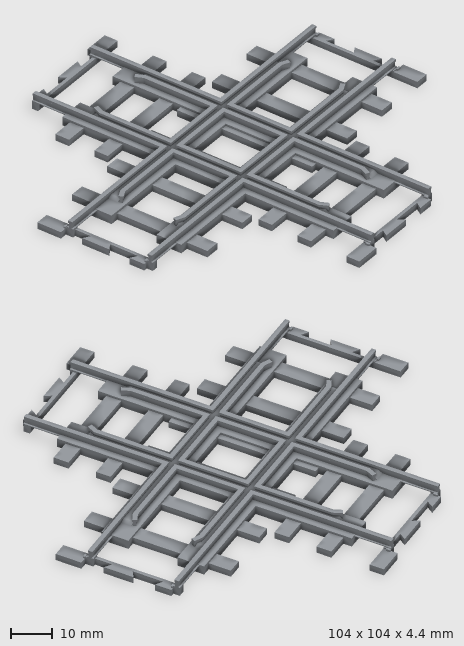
import cadquery as cq
import math

OVERALL = 104.0
QUARTER_TURNS = (0, 90, 180, 270)

SLEEPER_TOP = 1.9
FOOT_BOTTOM = 2.2
FOOT_TOP = 2.4
PLATE_TOP = 2.5
GROOVE_FLOOR = 3.1
HEAD_BOTTOM = 3.7
HEAD_TOP = 4.4

RAIL_CENTRE = 11.8
GUARD_CENTRE = 8.9
HEAD_WIDTH = 1.2
WEB_INSET = 0.2
FOOT_WIDTH = 1.8
RAIL_REACH = 49.9
RAIL_FOOT_INNER = RAIL_CENTRE - FOOT_WIDTH / 2
RAIL_FOOT_OUTER = RAIL_CENTRE + FOOT_WIDTH / 2
GROOVE_INNER = GUARD_CENTRE + HEAD_WIDTH / 2
GROOVE_OUTER = RAIL_CENTRE - HEAD_WIDTH / 2

FLARE_START = 32.2
FLARE_LENGTH = 2.4
FLARE_ANGLE = 25.0
RAMP_START = 33.8
RAMP_END = 34.8
RAMP_LEVEL_START = 32.8
RAMP_WIDTH = 2.7

PLATE_INNER = 6.7
PLATE_OUTER = 13.9
PLATE_REACH = 40.0

SLEEPER_HALF_LENGTH = 20.0
X_ARM_SLEEPERS = [(22.3, 26.2), (33.7, 37.8)]
Y_ARM_SLEEPERS = [(5.1, 9.0), (19.5, 23.4), (33.7, 37.8)]

BAR_INNER = 48.2
BAR_OUTER = 49.1
DOVETAIL_REACH = 51.0
RAIL_SEAT_OUTER = 13.0
DOVETAIL_SLANT = 1.2
TENON_LEFT = -0.6
TENON_RIGHT = 7.5
CORNER_BLOCK_RIGHT = -6.5
CLIP_WIDTH = 0.5
CLIP_END = 50.2


def block(x_range, y_range, z_range):
    """Axis-aligned box between the given limits."""
    (x0, x1), (y0, y1), (z0, z1) = x_range, y_range, z_range
    body = cq.Workplane("XY").box(x1 - x0, y1 - y0, z1 - z0, centered=False)
    return body.translate((x0, y0, z0))


def prism(points, bottom, top):
    """Upright prism over a closed polygon."""
    return cq.Workplane("XY").workplane(offset=bottom).polyline(points).close().extrude(top - bottom)


def turned(body, angle):
    """Copy of a body turned about the vertical axis."""
    return body.rotate((0, 0, 0), (0, 0, 1), angle)


def crossed(inner, outer, reach, bottom, top):
    """Four strips, one on each side of both tracks, running the length of the crossing."""
    strip = block((inner, outer), (-reach, reach), (bottom, top))
    strips = strip
    for angle in QUARTER_TURNS[1:]:
        strips = strips.union(turned(strip, angle))
    return strips


def guard_tip(side, inset, bottom, top):
    """Bent end of a guard rail in the +Y arm, leaning towards the middle of the track."""
    half = HEAD_WIDTH / 2 - inset
    lean = math.radians(FLARE_ANGLE)
    shift = half * math.tan(lean / 2)
    run_x = FLARE_LENGTH * math.sin(lean)
    run_y = FLARE_LENGTH * math.cos(lean)
    across_x = half * math.cos(lean)
    across_y = half * math.sin(lean)
    overlap_start = FLARE_START - HEAD_WIDTH
    points = [
        (GUARD_CENTRE + half, overlap_start),
        (GUARD_CENTRE - half, overlap_start),
        (GUARD_CENTRE - half, FLARE_START - shift),
        (GUARD_CENTRE - run_x - across_x, FLARE_START + run_y - across_y),
        (GUARD_CENTRE - run_x + across_x, FLARE_START + run_y + across_y),
        (GUARD_CENTRE + half, FLARE_START + shift),
    ]
    return prism([(side * x, y) for x, y in points], bottom, top)


def rail_layer(inset, bottom, top):
    """One height band of all rails, with the wheel grooves cut through the crossings."""
    half = HEAD_WIDTH / 2 - inset
    layer = crossed(RAIL_CENTRE - half, RAIL_CENTRE + half, RAIL_REACH, bottom, top)
    layer = layer.union(crossed(GUARD_CENTRE - half, GUARD_CENTRE + half, FLARE_START, bottom, top))
    layer = layer.cut(crossed(GROOVE_INNER - inset, GROOVE_OUTER + inset, RAIL_REACH, bottom, top))
    for angle in QUARTER_TURNS:
        for side in (-1, 1):
            layer = layer.union(turned(guard_tip(side, inset, bottom, top), angle))
    return layer


def groove_floor():
    """Raised floors of the wheel grooves, each ramping down to the plate at its ends."""
    web_face = GROOVE_OUTER + WEB_INSET
    floors = crossed(GROOVE_INNER - WEB_INSET, web_face, RAMP_START, PLATE_TOP, GROOVE_FLOOR)
    ramp = (
        cq.Workplane("YZ")
        .polyline([
            (RAMP_LEVEL_START, PLATE_TOP),
            (RAMP_LEVEL_START, GROOVE_FLOOR),
            (RAMP_START, GROOVE_FLOOR),
            (RAMP_END, PLATE_TOP),
        ])
        .close()
        .extrude(RAMP_WIDTH)
        .translate((web_face - RAMP_WIDTH, 0, 0))
    )
    for angle in QUARTER_TURNS:
        floors = floors.union(turned(ramp, angle))
        floors = floors.union(turned(ramp.mirror("YZ"), angle))
    return floors


def sleepers():
    """Cross sleepers of both tracks."""
    span = (-SLEEPER_HALF_LENGTH, SLEEPER_HALF_LENGTH)
    height = (0, SLEEPER_TOP)
    bodies = []
    for near, far in X_ARM_SLEEPERS:
        bodies += [block((near, far), span, height), block((-far, -near), span, height)]
    for near, far in Y_ARM_SLEEPERS:
        bodies += [block(span, (near, far), height), block(span, (-far, -near), height)]
    return bodies


def arm_end():
    """Coupling of the +Y arm: cross bar, dovetails, rail seats, end sleeper and rail clips."""
    height = (0, SLEEPER_TOP)
    end = block((-RAIL_FOOT_INNER, RAIL_SEAT_OUTER), (BAR_INNER, BAR_OUTER), height)
    for seat in ((-RAIL_FOOT_OUTER, -RAIL_FOOT_INNER), (RAIL_FOOT_INNER, RAIL_SEAT_OUTER)):
        end = end.union(block(seat, (BAR_INNER, RAIL_REACH), (0, FOOT_BOTTOM)))

    end = end.union(block((RAIL_SEAT_OUTER, SLEEPER_HALF_LENGTH), (BAR_INNER, OVERALL / 2), height))
    tenon = [
        (TENON_LEFT, DOVETAIL_REACH),
        (TENON_RIGHT, DOVETAIL_REACH),
        (TENON_RIGHT - DOVETAIL_SLANT, BAR_OUTER),
        (TENON_RIGHT - DOVETAIL_SLANT, BAR_INNER),
        (TENON_LEFT + DOVETAIL_SLANT, BAR_INNER),
        (TENON_LEFT + DOVETAIL_SLANT, BAR_OUTER),
    ]
    corner_block = [
        (-RAIL_FOOT_INNER, DOVETAIL_REACH),
        (CORNER_BLOCK_RIGHT, DOVETAIL_REACH),
        (CORNER_BLOCK_RIGHT - DOVETAIL_SLANT, BAR_OUTER),
        (CORNER_BLOCK_RIGHT - DOVETAIL_SLANT, BAR_INNER),
        (-RAIL_FOOT_INNER, BAR_INNER),
    ]
    for outline in (tenon, corner_block):
        end = end.union(prism(outline, *height))

    for clip_left in (-RAIL_FOOT_INNER, RAIL_SEAT_OUTER):
        clip = block((clip_left, clip_left + CLIP_WIDTH), (BAR_OUTER, CLIP_END), (0, FOOT_TOP))
        end = end.union(clip)
    return end


result = crossed(PLATE_INNER, PLATE_OUTER, PLATE_REACH, 0, PLATE_TOP)
for sleeper in sleepers():
    result = result.union(sleeper)
for quarter in QUARTER_TURNS:
    result = result.union(turned(arm_end(), quarter))
result = result.union(crossed(RAIL_FOOT_INNER, RAIL_FOOT_OUTER, RAIL_REACH, FOOT_BOTTOM, FOOT_TOP))
result = result.union(rail_layer(WEB_INSET, FOOT_TOP, HEAD_BOTTOM))
result = result.union(groove_floor())
result = result.union(rail_layer(0, HEAD_BOTTOM, HEAD_TOP))